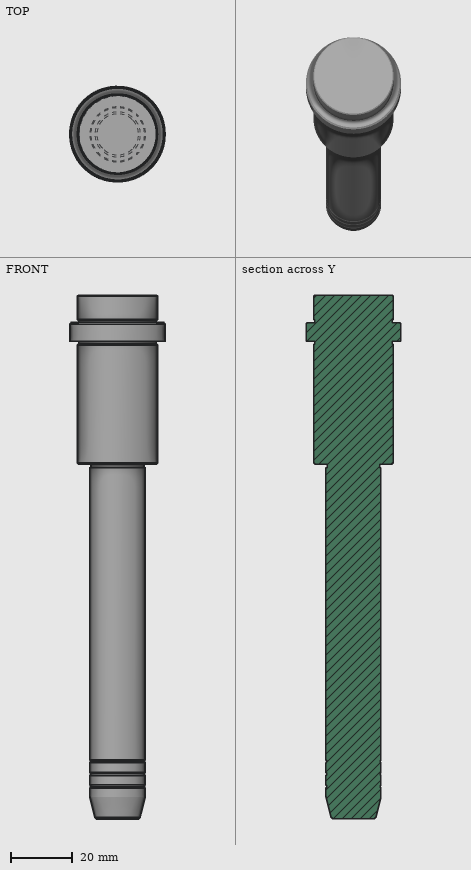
import cadquery as cq
import math

total_length = 170.0
shaft_diameter = 18.0
head_diameter = 26.0
flange_diameter = 31.0

head_length = 54.9
flange_top = total_length - 8.8
flange_bottom = total_length - 15.0
head_bottom = total_length - head_length
head_top_chamfer = 0.3
head_bottom_chamfer = 0.5
flange_edge_chamfer = 0.5

relief_depth = 0.3
upper_relief_width = 1.0
lower_relief_width = 1.2

neck_height = 1.0
neck_depth = 0.3

tip_length = 7.1
tip_diameter = 14.5
tip_edge_chamfer = 0.5

groove_count = 3
lowest_groove_height = 10.5
groove_pitch = 4.0
groove_width = 1.0
groove_depth = 0.3


def cylinder(diameter, bottom, top):
    """Solid cylinder on the Z axis between two heights."""
    return cq.Workplane("XY").workplane(offset=bottom).circle(diameter / 2).extrude(top - bottom)


def tapered_ring_cut(outer_diameter, depth, wall, end):
    """Ring that cuts a groove with a square wall at one height and a 45 degree slope at the other."""
    outer_radius = outer_diameter / 2
    floor_end = end - math.copysign(depth, end - wall)
    section = [
        (outer_radius, wall),
        (outer_radius - depth, wall),
        (outer_radius - depth, floor_end),
        (outer_radius, end),
    ]
    return cq.Workplane("XZ").polyline(section).close().revolve(360, (0, 0, 0), (0, 1, 0))


def vee_cut(outer_diameter, depth, center, width):
    """Ring of triangular section that cuts a V groove into a round surface."""
    outer_radius = outer_diameter / 2
    section = [
        (outer_radius, center - width / 2),
        (outer_radius - depth, center),
        (outer_radius, center + width / 2),
    ]
    return cq.Workplane("XZ").polyline(section).close().revolve(360, (0, 0, 0), (0, 1, 0))


def make_shaft():
    neck_bottom = head_bottom - neck_height
    shaft = cylinder(shaft_diameter, tip_length, neck_bottom)
    neck = cylinder(shaft_diameter - 2 * neck_depth, neck_bottom, head_bottom)
    tip = (
        cq.Workplane("XY")
        .circle(tip_diameter / 2)
        .workplane(offset=tip_length)
        .circle(shaft_diameter / 2)
        .loft()
        .faces("<Z")
        .chamfer(tip_edge_chamfer)
    )
    shaft = shaft.union(tip).union(neck)
    for index in range(groove_count):
        center = lowest_groove_height + index * groove_pitch
        shaft = shaft.cut(vee_cut(shaft_diameter, groove_depth, center, groove_width))
    return shaft


def make_head():
    head = cylinder(head_diameter, head_bottom, total_length)
    head = head.faces("<Z").chamfer(head_bottom_chamfer)
    head = head.faces(">Z").chamfer(head_top_chamfer)
    upper_relief_top = flange_top + upper_relief_width
    lower_relief_bottom = flange_bottom - lower_relief_width
    head = head.cut(tapered_ring_cut(head_diameter, relief_depth, flange_top, upper_relief_top))
    return head.cut(tapered_ring_cut(head_diameter, relief_depth, flange_bottom, lower_relief_bottom))


def make_flange():
    flange = cylinder(flange_diameter, flange_bottom, flange_top)
    return flange.faces(">Z").chamfer(flange_edge_chamfer)


result = make_shaft().union(make_head()).union(make_flange())